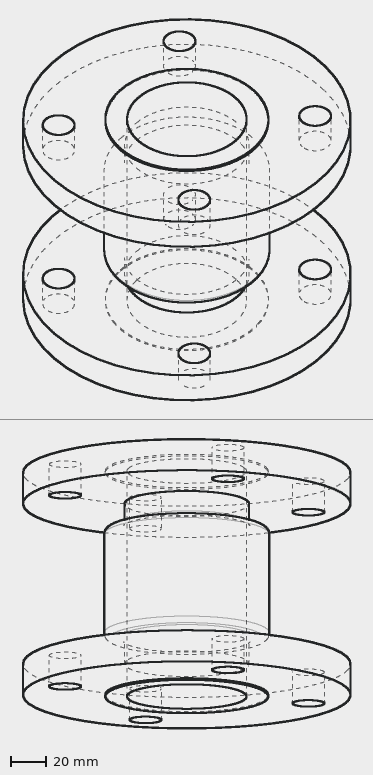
import cadquery as cq
import math

overall_height = 130.0
bore_diameter = 67.5

flange_diameter = 185.0
flange_thickness = 18.0
raised_face_diameter = 92.1
raised_face_height = 1.0

bolt_hole_count = 4
bolt_hole_diameter = 18.0
bolt_circle_diameter = 145.0
first_bolt_angle = 45.0

neck_diameter = 70.3
body_diameter = 93.5
body_height = 63.0
shoulder_radius = 3.1

face_z = overall_height / 2
flange_outer_z = face_z - raised_face_height
flange_inner_z = flange_outer_z - flange_thickness
shoulder_z = body_height / 2
neck_start_z = shoulder_z + shoulder_radius
rim_start_z = shoulder_z - shoulder_radius

bore_r = bore_diameter / 2
raised_face_r = raised_face_diameter / 2
flange_r = flange_diameter / 2
neck_r = neck_diameter / 2
body_r = body_diameter / 2
root_end_r = neck_r + shoulder_radius
rim_end_r = body_r - shoulder_radius

arc_middle = shoulder_radius * math.sqrt(0.5)


def make_turned_shape():
    """Revolve one half-section, drawn on the -X side, about the Z axis."""
    root_middle_r = root_end_r - arc_middle
    rim_middle_r = rim_end_r + arc_middle
    root_middle_z = neck_start_z - arc_middle
    rim_middle_z = rim_start_z + arc_middle
    section = (
        cq.Workplane("XZ")
        .moveTo(-bore_r, face_z)
        .lineTo(-raised_face_r, face_z)
        .lineTo(-raised_face_r, flange_outer_z)
        .lineTo(-flange_r, flange_outer_z)
        .lineTo(-flange_r, flange_inner_z)
        .lineTo(-neck_r, flange_inner_z)
        .lineTo(-neck_r, neck_start_z)
        .threePointArc((-root_middle_r, root_middle_z), (-root_end_r, shoulder_z))
        .lineTo(-rim_end_r, shoulder_z)
        .threePointArc((-rim_middle_r, rim_middle_z), (-body_r, rim_start_z))
        .lineTo(-body_r, -rim_start_z)
        .threePointArc((-rim_middle_r, -rim_middle_z), (-rim_end_r, -shoulder_z))
        .lineTo(-root_end_r, -shoulder_z)
        .threePointArc((-root_middle_r, -root_middle_z), (-neck_r, -neck_start_z))
        .lineTo(-neck_r, -flange_inner_z)
        .lineTo(-flange_r, -flange_inner_z)
        .lineTo(-flange_r, -flange_outer_z)
        .lineTo(-raised_face_r, -flange_outer_z)
        .lineTo(-raised_face_r, -face_z)
        .lineTo(-bore_r, -face_z)
        .close()
    )
    return section.revolve(360, (0, 0, 0), (0, 1, 0))


def make_bolt_holes():
    """Cylinders on the bolt circle, long enough to pass through both flanges."""
    return (
        cq.Workplane("XY", origin=(0, 0, -face_z))
        .polarArray(bolt_circle_diameter / 2, first_bolt_angle, 360, bolt_hole_count)
        .circle(bolt_hole_diameter / 2)
        .extrude(overall_height)
    )


result = make_turned_shape().cut(make_bolt_holes())